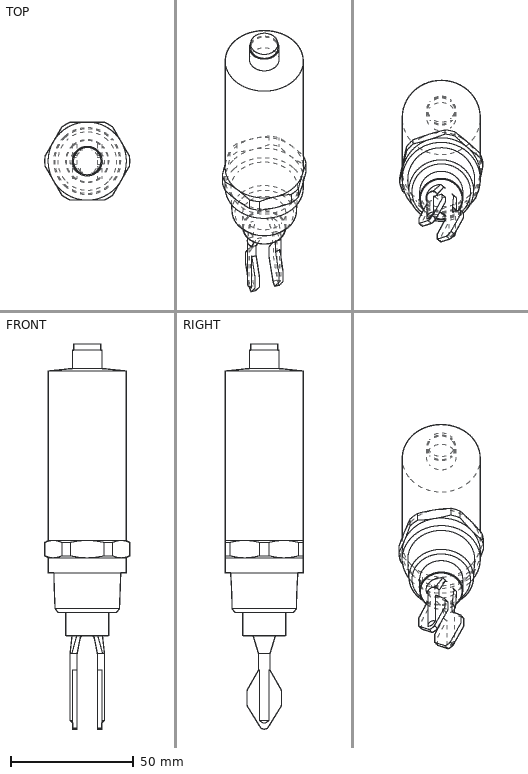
import cadquery as cq
import math

TOTAL_HEIGHT = 157.5
PIN_STEP_Z = 155.0
CAP_Z = 147.4
BODY_TOP_Z = 146.5
HEX_TOP_Z = 77.2
HEX_BOTTOM_Z = 70.1
COLLAR_BOTTOM_Z = 64.0
FLANGE_BOTTOM_Z = 62.5
TAPER_BOTTOM_Z = 49.3
SHOULDER_Z = 47.7
NECK_BOTTOM_Z = 38.1

BODY_DIAMETER = 32.0
BODY_RADIUS = BODY_DIAMETER / 2
PIN_DIAMETER = 12.1
PIN_RADIUS = PIN_DIAMETER / 2
PIN_TIP_DIAMETER = 11.2
PIN_TIP_RADIUS = PIN_TIP_DIAMETER / 2
CAP_FLAT_RADIUS = 7.1
FLANGE_RADIUS = 13.7
TAPER_RADIUS = 13.2
SHOULDER_RADIUS = 12.0
NECK_RADIUS = 8.8
NECK_CHAMFER = 0.3

HEX_ACROSS_FLATS = BODY_DIAMETER
HEX_CORNER_DIAMETER = 34.8
HEX_CORNER_RADIUS = HEX_CORNER_DIAMETER / 2
HEX_CHAMFER_WIDTH = 1.4
HEX_CHAMFER_HEIGHT = 0.8

ROD_RADIUS = 2.4
ROD_OUTER_X = 7.1
ROD_CENTER_X = ROD_OUTER_X - ROD_RADIUS
ROD_INNER_X = 4.1
ROD_TOP_Z = 30.9
ROD_BOTTOM_Z = 2.0
ROD_TIP_CHAMFER = 1.5
ROOT_OUTER_X = 6.3
ROOT_INNER_X = 2.7
ROOT_LOWER_EDGE_X = 6.3
ROOT_FILLET = 1.0
ROOT_HALF_WIDTH = 4.5
ROOT_EDGE_X = math.sqrt(ROOT_OUTER_X**2 - ROOT_HALF_WIDTH**2)
PADDLE_THICKNESS = 1.9
PADDLE_HALF_WIDTH = 7.1
PADDLE_TOP_Z = 24.3
PADDLE_FLAT_TOP_Z = 15.9
PADDLE_FLAT_BOTTOM_Z = 9.6
PADDLE_TIP_HALF_WIDTH = 1.4
PADDLE_TIP_RISE = 0.5
PADDLE_CORNER_RADIUS = 1.5


def turned_body():
    """Pin, housing, collar, tapered section and neck as one revolved profile."""
    profile = [
        (0, NECK_BOTTOM_Z),
        (NECK_RADIUS - NECK_CHAMFER, NECK_BOTTOM_Z),
        (NECK_RADIUS, NECK_BOTTOM_Z + NECK_CHAMFER),
        (NECK_RADIUS, SHOULDER_Z),
        (SHOULDER_RADIUS, SHOULDER_Z),
        (TAPER_RADIUS, TAPER_BOTTOM_Z),
        (FLANGE_RADIUS, FLANGE_BOTTOM_Z),
        (FLANGE_RADIUS, COLLAR_BOTTOM_Z),
        (BODY_RADIUS, COLLAR_BOTTOM_Z),
        (BODY_RADIUS, BODY_TOP_Z),
        (CAP_FLAT_RADIUS, CAP_Z),
        (PIN_RADIUS, CAP_Z),
        (PIN_RADIUS, PIN_STEP_Z),
        (PIN_TIP_RADIUS, PIN_STEP_Z),
        (PIN_TIP_RADIUS, TOTAL_HEIGHT),
        (0, TOTAL_HEIGHT),
    ]
    return cq.Workplane("XZ").polyline(profile).close().revolve(360, (0, 0), (0, 1))


def hexagon():
    """Wrench hexagon with flats facing Y, its corners turned and chamfered."""
    height = HEX_TOP_Z - HEX_BOTTOM_Z
    across_corners = HEX_ACROSS_FLATS / math.cos(math.pi / 6)
    base = cq.Workplane("XY").workplane(offset=HEX_BOTTOM_Z)
    prism = base.polygon(6, across_corners).extrude(height)
    turned = base.circle(HEX_CORNER_RADIUS).extrude(height)
    turned = turned.edges("%CIRCLE").chamfer(HEX_CHAMFER_HEIGHT, HEX_CHAMFER_WIDTH)
    return prism.intersect(turned)


def arm_section(plane, inner_x, edge_x, outer_x, half_width):
    """Section with a flat inner side and parallel flanks, closed by an outer arc."""
    return (
        plane.moveTo(inner_x, -half_width)
        .lineTo(edge_x, -half_width)
        .threePointArc((outer_x, 0), (edge_x, half_width))
        .lineTo(inner_x, half_width)
        .close()
    )


def flared_root():
    """Arm root that widens and leans inward from the rod up to the neck."""
    lower = arm_section(
        cq.Workplane("XY").workplane(offset=ROD_TOP_Z),
        ROD_INNER_X,
        ROOT_LOWER_EDGE_X,
        ROD_OUTER_X,
        ROD_RADIUS,
    )
    upper = lower.workplane(offset=NECK_BOTTOM_Z - ROD_TOP_Z)
    upper = arm_section(upper, ROOT_INNER_X, ROOT_EDGE_X, ROOT_OUTER_X, ROOT_HALF_WIDTH)
    return upper.loft(ruled=True)


def rod():
    """Flat-backed round rod with a conical lower end."""
    base = cq.Workplane("XY").workplane(offset=ROD_BOTTOM_Z).center(ROD_CENTER_X, 0)
    cone_cut = base.circle(ROD_RADIUS).extrude(ROD_TOP_Z - ROD_BOTTOM_Z)
    cone_cut = cone_cut.faces("<Z").chamfer(ROD_TIP_CHAMFER)
    bar = arm_section(
        cq.Workplane("XY").workplane(offset=ROD_BOTTOM_Z),
        ROD_INNER_X,
        ROD_CENTER_X,
        ROD_OUTER_X,
        ROD_RADIUS,
    )
    return bar.extrude(ROD_TOP_Z - ROD_BOTTOM_Z).intersect(cone_cut)


def paddle():
    """Thin leaf-shaped plate on the inner side of the rod, with a rounded tip."""
    return (
        cq.Workplane("YZ")
        .workplane(offset=ROD_INNER_X)
        .moveTo(-ROD_RADIUS, PADDLE_TOP_Z)
        .lineTo(-PADDLE_HALF_WIDTH, PADDLE_FLAT_TOP_Z)
        .lineTo(-PADDLE_HALF_WIDTH, PADDLE_FLAT_BOTTOM_Z)
        .lineTo(-PADDLE_TIP_HALF_WIDTH, PADDLE_TIP_RISE)
        .threePointArc((0, 0), (PADDLE_TIP_HALF_WIDTH, PADDLE_TIP_RISE))
        .lineTo(PADDLE_HALF_WIDTH, PADDLE_FLAT_BOTTOM_Z)
        .lineTo(PADDLE_HALF_WIDTH, PADDLE_FLAT_TOP_Z)
        .lineTo(ROD_RADIUS, PADDLE_TOP_Z)
        .close()
        .extrude(PADDLE_THICKNESS)
        .edges("|X and (<Y or >Y)")
        .fillet(PADDLE_CORNER_RADIUS)
    )


arm = flared_root().union(rod()).union(paddle())
opposite_arm = arm.mirror("YZ")
result = turned_body().union(hexagon()).union(arm).union(opposite_arm)

for side in (-1, 1):
    arch_corner = cq.selectors.NearestToPointSelector((side * ROOT_INNER_X, 0, NECK_BOTTOM_Z))
    result = result.edges(arch_corner).fillet(ROOT_FILLET)